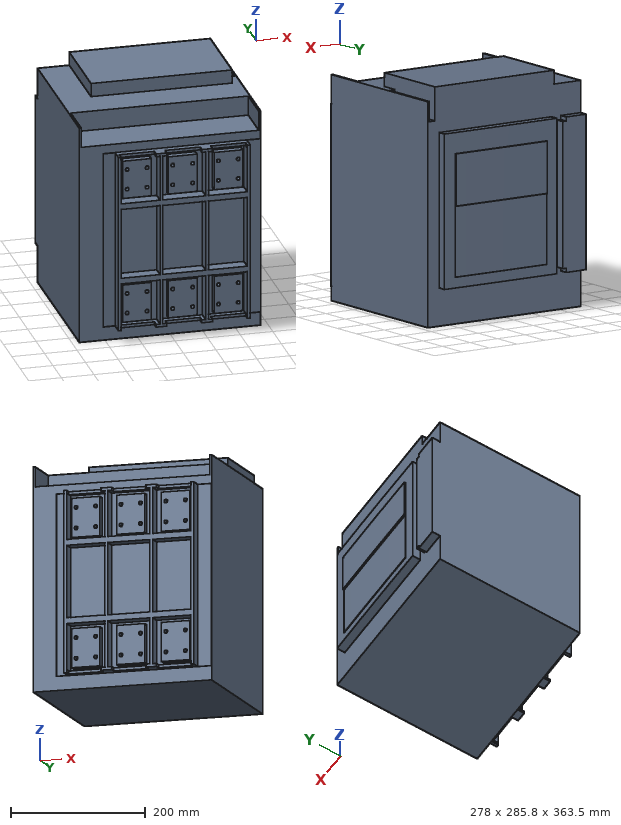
import cadquery as cq

HOUSING_WIDTH = 278.0
HOUSING_DEPTH = 248.5
HOUSING_HEIGHT = 342.5
SIDE_WALL = 3.0
ROOF_CUT_DEPTH = 30.5
CHANNEL_LENGTH = 62.5
POCKET_LENGTH = 103.0

BLOCK_LEFT = 48.5
BLOCK_WIDTH = 216.5
BLOCK_LENGTH = 130.0
BLOCK_HEIGHT = 21.0

COLUMN_WIDTH = 42.5
COLUMN_STEP = 6.3
COLUMN_DEPTH = 13.8

FLANGE_LEFT = 36.5
FLANGE_BOTTOM = 21.5
FLANGE_HEIGHT = 277.0
FLANGE_THICKNESS = 1.0
FRAME_CENTRE_X = 155.6
FRAME_WIDTH = 202.0
FRAME_HEIGHT_ABOVE_FLANGE = 19.8
FRAME_WALL = 4.5
POLE_COUNT = 3
POLE_PITCH = 70.0
TERMINAL_CELL_HEIGHT = 70.0
SHELF_THICKNESS = 9.0
RIM_NOTCH_WIDTH = 53.5
RIM_NOTCH_DEPTH = 10.5

PAD_WIDTH = 44.0
PAD_HEIGHT = 59.5
PAD_RAISE = 4.5
PAD_SETBACK = 9.5
HOLE_DIAMETER = 5.0
HOLE_SPACING_X = 30.5
HOLE_SPACING_Z = 31.3

COVER_LEFT = 53.0
COVER_WIDTH = 204.5
COVER_BOTTOM = 58.0
COVER_HEIGHT = 235.5
COVER_SIDE_DEPTH = 13.8
COVER_CROWN = 0.5

PLATE_LEFT = 72.0
PLATE_WIDTH = 166.0
LOWER_PLATE_BOTTOM = 74.4
LOWER_PLATE_HEIGHT = 107.6
LOWER_PLATE_THICKNESS = 0.6
UPPER_PLATE_HEIGHT = 79.5
OVERALL_DEPTH = 285.77

FRAME_FRONT = -FLANGE_THICKNESS - FRAME_HEIGHT_ABOVE_FLANGE
FRAME_LEFT = FRAME_CENTRE_X - FRAME_WIDTH / 2
FRAME_RIGHT = FRAME_LEFT + FRAME_WIDTH
FLANGE_TOP = FLANGE_BOTTOM + FLANGE_HEIGHT
LOWER_CELL_BOTTOM = FLANGE_BOTTOM + FRAME_WALL
UPPER_CELL_BOTTOM = FLANGE_TOP - FRAME_WALL - TERMINAL_CELL_HEIGHT
MIDDLE_CELL_BOTTOM = LOWER_CELL_BOTTOM + TERMINAL_CELL_HEIGHT + SHELF_THICKNESS
MIDDLE_CELL_HEIGHT = UPPER_CELL_BOTTOM - SHELF_THICKNESS - MIDDLE_CELL_BOTTOM
POLE_CENTRES = [FRAME_CENTRE_X + (i - (POLE_COUNT - 1) / 2) * POLE_PITCH for i in range(POLE_COUNT)]
COVER_CENTRE_X = COVER_LEFT + COVER_WIDTH / 2
COVER_CROWN_Y = HOUSING_DEPTH + COVER_SIDE_DEPTH + COVER_CROWN
COVER_RADIUS = ((COVER_WIDTH / 2) ** 2 + COVER_CROWN**2) / (2 * COVER_CROWN)
UPPER_PLATE_BOTTOM = LOWER_PLATE_BOTTOM + LOWER_PLATE_HEIGHT
UPPER_PLATE_THICKNESS = OVERALL_DEPTH + FRAME_FRONT - COVER_CROWN_Y


def block(x, y, z, width, depth, height):
    """A box whose lowest corner is at (x, y, z)."""
    return cq.Workplane("XY").box(width, depth, height, centered=False).translate((x, y, z))


def make_housing():
    body = block(0, 0, 0, HOUSING_WIDTH, HOUSING_DEPTH, HOUSING_HEIGHT)

    block_front = HOUSING_DEPTH - BLOCK_LENGTH
    body = body.union(
        block(BLOCK_LEFT, block_front, HOUSING_HEIGHT, BLOCK_WIDTH, BLOCK_LENGTH, BLOCK_HEIGHT)
    )

    cut_bottom = HOUSING_HEIGHT - ROOF_CUT_DEPTH
    channel_width = HOUSING_WIDTH - 2 * SIDE_WALL
    body = body.cut(block(SIDE_WALL, 0, cut_bottom, channel_width, CHANNEL_LENGTH, ROOF_CUT_DEPTH))

    pocket_left = BLOCK_LEFT + BLOCK_WIDTH
    pocket_width = HOUSING_WIDTH - SIDE_WALL - pocket_left
    pocket_front = HOUSING_DEPTH - POCKET_LENGTH
    body = body.cut(
        block(pocket_left, pocket_front, cut_bottom, pocket_width, POCKET_LENGTH, ROOF_CUT_DEPTH)
    )

    step_left = COLUMN_WIDTH - COLUMN_STEP
    step_bottom = COVER_BOTTOM + COLUMN_STEP
    step_height = COVER_HEIGHT - 2 * COLUMN_STEP
    body = body.union(block(0, HOUSING_DEPTH, COVER_BOTTOM, step_left, COLUMN_DEPTH, COVER_HEIGHT))
    return body.union(
        block(step_left, HOUSING_DEPTH, step_bottom, COLUMN_STEP, COLUMN_DEPTH, step_height)
    )


def cut_cells(frame):
    """Cut the three rows of cells down to the flange."""
    rows = [
        (LOWER_CELL_BOTTOM, TERMINAL_CELL_HEIGHT),
        (MIDDLE_CELL_BOTTOM, MIDDLE_CELL_HEIGHT),
        (UPPER_CELL_BOTTOM, TERMINAL_CELL_HEIGHT),
    ]
    cell_lefts = [FRAME_LEFT + FRAME_WALL]
    cell_rights = []
    for pole_centre in POLE_CENTRES[1:]:
        rib_centre = pole_centre - POLE_PITCH / 2
        cell_rights.append(rib_centre - FRAME_WALL / 2)
        cell_lefts.append(rib_centre + FRAME_WALL / 2)
    cell_rights.append(FRAME_RIGHT - FRAME_WALL)

    for left, right in zip(cell_lefts, cell_rights):
        for bottom, height in rows:
            cell = block(left, FRAME_FRONT, bottom, right - left, FRAME_HEIGHT_ABOVE_FLANGE, height)
            frame = frame.cut(cell)
    return frame


def cut_rim_notches(frame):
    """Notch the bottom and top rims in front of each pole."""
    for pole_centre in POLE_CENTRES:
        left = pole_centre - RIM_NOTCH_WIDTH / 2
        for bottom in (FLANGE_BOTTOM, FLANGE_TOP - FRAME_WALL):
            notch = block(left, FRAME_FRONT, bottom, RIM_NOTCH_WIDTH, RIM_NOTCH_DEPTH, FRAME_WALL)
            frame = frame.cut(notch)
    return frame


def make_pad(pole_centre, cell_bottom):
    """A terminal pad with four screw holes running down to the flange."""
    depth = FRAME_HEIGHT_ABOVE_FLANGE - PAD_SETBACK
    pad = cq.Workplane("XY").box(PAD_WIDTH, depth, PAD_HEIGHT)
    drilled_pad = (
        pad.faces("<Y")
        .workplane(centerOption="CenterOfMass")
        .rarray(HOLE_SPACING_X, HOLE_SPACING_Z, 2, 2)
        .hole(HOLE_DIAMETER)
    )
    centre_y = -FLANGE_THICKNESS - depth / 2
    return drilled_pad.translate((pole_centre, centre_y, cell_bottom + PAD_RAISE + PAD_HEIGHT / 2))


def make_terminal_frame():
    flange_width = HOUSING_WIDTH - FLANGE_LEFT
    frame = block(
        FLANGE_LEFT, -FLANGE_THICKNESS, FLANGE_BOTTOM, flange_width, FLANGE_THICKNESS, FLANGE_HEIGHT
    )
    frame = frame.union(
        block(FRAME_LEFT, FRAME_FRONT, FLANGE_BOTTOM, FRAME_WIDTH, FRAME_HEIGHT_ABOVE_FLANGE, FLANGE_HEIGHT)
    )
    frame = cut_cells(frame)
    frame = cut_rim_notches(frame)
    for pole_centre in POLE_CENTRES:
        for cell_bottom in (LOWER_CELL_BOTTOM, UPPER_CELL_BOTTOM):
            frame = frame.union(make_pad(pole_centre, cell_bottom))
    return frame


def crowned_slab(left, bottom, width, height, rise):
    """A slab on the back of the housing whose face is concentric with the cover's crown."""
    radius = COVER_RADIUS + rise
    crown_y = COVER_CROWN_Y + rise

    def face_y(x):
        return crown_y - radius + (radius**2 - (x - COVER_CENTRE_X) ** 2) ** 0.5

    right = left + width
    return (
        cq.Workplane("XY", origin=(0, 0, bottom))
        .moveTo(left, HOUSING_DEPTH)
        .lineTo(right, HOUSING_DEPTH)
        .lineTo(right, face_y(right))
        .threePointArc((COVER_CENTRE_X, crown_y), (left, face_y(left)))
        .close()
        .extrude(height)
    )


def make_cover():
    return crowned_slab(COVER_LEFT, COVER_BOTTOM, COVER_WIDTH, COVER_HEIGHT, 0)


def make_plate(bottom, height, thickness):
    """A plate of even thickness lying on the cover's crowned face."""
    return crowned_slab(PLATE_LEFT, bottom, PLATE_WIDTH, height, thickness).cut(make_cover())


housing = make_housing()
terminal_frame = make_terminal_frame()
cover = make_cover()
lower_plate = make_plate(LOWER_PLATE_BOTTOM, LOWER_PLATE_HEIGHT, LOWER_PLATE_THICKNESS)
upper_plate = make_plate(UPPER_PLATE_BOTTOM, UPPER_PLATE_HEIGHT, UPPER_PLATE_THICKNESS)

bodies = [housing, terminal_frame, cover, lower_plate, upper_plate]
result = cq.Compound.makeCompound([body.solids().val() for body in bodies])